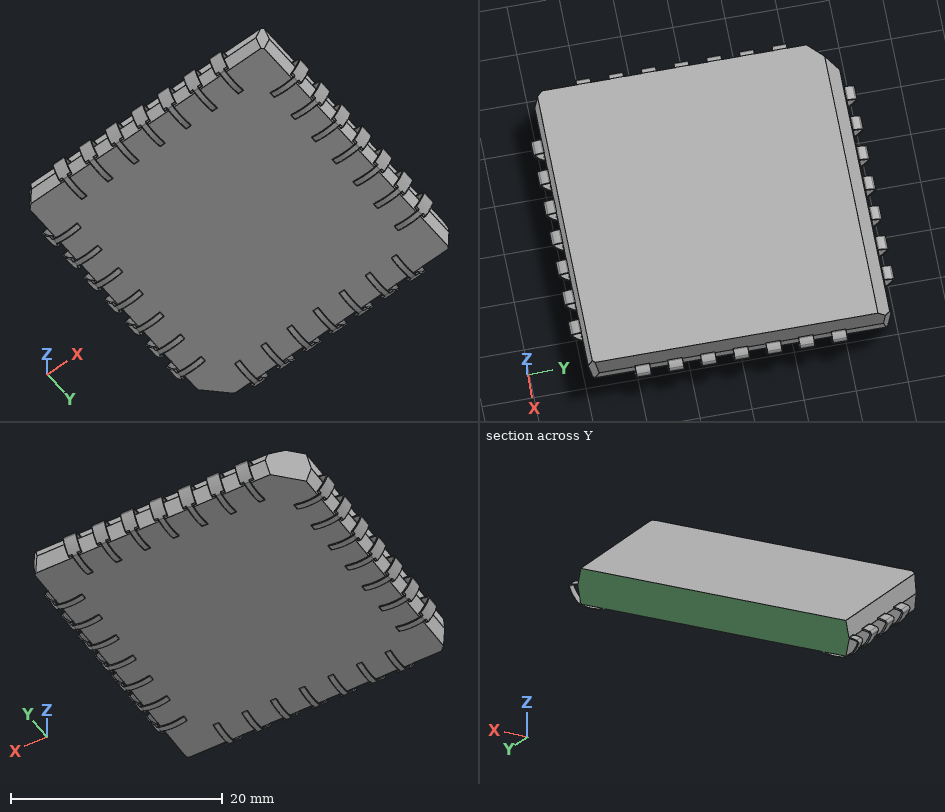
import cadquery as cq
import math

lead_span = 31.1
total_height = 3.98

body_width = 29.1
body_bottom = 0.3
side_inset = 0.35
index_corner = 3.17
front_left_corner = 1.18
plain_corner = 0.9
bevel_run = 1.37
bevel_start_depth = 0.95

leads_per_side = 7
lead_pitch = 3.15
lead_width = 1.4
lead_thickness = 0.15
lead_top = 2.3
lead_root = 14.15
row_shift = 0.1
crown_radius = 2.02
crown_sweep = 20.0
elbow_radius = 0.22
elbow_end_angle = 110.0
foot_width = 0.6
foot_shoulder = 0.35
foot_heel = 14.43
foot_tip = 11.7
foot_end_height = 0.28

body_height = total_height - body_bottom
half_height = body_height / 2
mid_plane = body_bottom + half_height
half_body = body_width / 2
half_thickness = lead_thickness / 2


def half_shell(direction):
    """Square half of the body, leaning inward away from the mid-plane."""
    lean = math.degrees(math.atan(side_inset / half_height))
    return (
        cq.Workplane("XY", origin=(0, 0, mid_plane))
        .rect(body_width, body_width)
        .extrude(direction * half_height, taper=lean)
    )


def corner_outline():
    """Vertical prism that trims the four corners of the body at 45 degrees."""
    h = half_body
    points = [
        (-h + front_left_corner, -h),
        (h - plain_corner, -h),
        (h, -h + plain_corner),
        (h, h - plain_corner),
        (h - plain_corner, h),
        (-h + index_corner, h),
        (-h, h - index_corner),
        (-h, -h + front_left_corner),
    ]
    return cq.Workplane("XY").polyline(points).close().extrude(total_height)


def top_bevel():
    """Wedge removed along the +Y top edge."""
    side_y = half_body - side_inset * (half_height - bevel_start_depth) / half_height
    bevel_y = half_body - bevel_run
    slope = bevel_start_depth / (side_y - bevel_y)
    outer_z = total_height - slope * bevel_run
    points = [(bevel_y, total_height), (half_body, outer_z), (half_body, total_height)]
    return cq.Workplane("YZ").polyline(points).close().extrude(half_body, both=True)


def arc_point(centre, radius, angle):
    """Point on a circle in the XZ plane, with the angle in degrees from +Z towards +X."""
    turn = math.radians(angle)
    return centre[0] + radius * math.sin(turn), centre[1] + radius * math.cos(turn)


def lead_strip():
    """Full-width bent strip of the +X side, centred on y = 0."""
    top = lead_top - half_thickness
    elbow_x = lead_span / 2 - half_thickness - elbow_radius
    crown_x = elbow_x - (crown_radius - elbow_radius) * math.sin(math.radians(crown_sweep))
    crown_centre = (crown_x, top - crown_radius)
    elbow_centre = arc_point(crown_centre, crown_radius - elbow_radius, crown_sweep)
    centre_line = (
        cq.Workplane("XZ", origin=(0, lead_width / 2, 0))
        .moveTo(lead_root, top)
        .lineTo(crown_x, top)
        .tangentArcPoint(arc_point(crown_centre, crown_radius, crown_sweep), relative=False)
        .tangentArcPoint(arc_point(elbow_centre, elbow_radius, elbow_end_angle), relative=False)
        .tangentArcPoint((foot_heel, foot_end_height), relative=False)
        .threePointArc(((foot_heel + foot_tip) / 2, half_thickness), (foot_tip, foot_end_height))
    )
    return centre_line.offset2D(half_thickness).extrude(lead_width)


def j_lead():
    """One lead, with both sides cut away below the shoulder to leave a narrow foot."""
    side_cut = (lead_width - foot_width) / 2
    side_cuts = (
        cq.Workplane("XY")
        .pushPoints([(0, (foot_width + side_cut) / 2), (0, -(foot_width + side_cut) / 2)])
        .rect(lead_span + lead_thickness, side_cut)
        .extrude(foot_shoulder)
    )
    return lead_strip().cut(side_cuts)


result = half_shell(1).union(half_shell(-1)).intersect(corner_outline()).cut(top_bevel())

lead = j_lead()
for quarter_turn, shift in enumerate([-row_shift, -row_shift, row_shift, row_shift]):
    for index in range(leads_per_side):
        offset = (index - (leads_per_side - 1) / 2) * lead_pitch + shift
        placed = lead.translate((0, offset, 0)).rotate((0, 0, 0), (0, 0, 1), 90 * quarter_turn)
        result = result.union(placed)